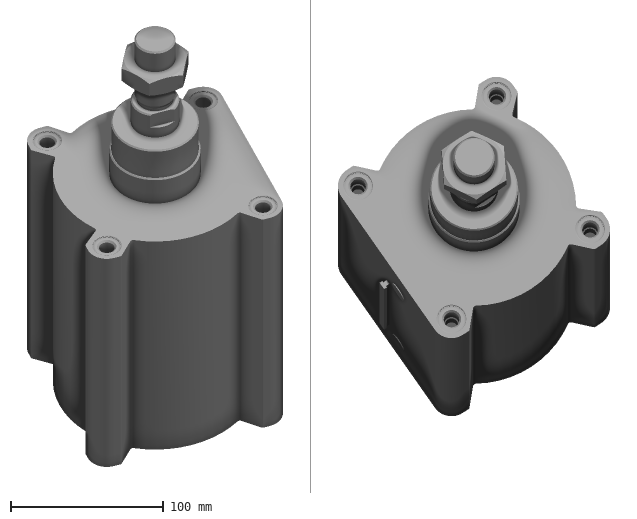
import cadquery as cq
import math

overall_height = 310.0
base_spigot_height = 6.2
barrel_top = 191.0
neck_top = 212.7
collar_top = 236.8
barrel_middle = (base_spigot_height + barrel_top) / 2

overall_width = 136.0
barrel_diameter = 134.2
lug_spacing = 55.0
lug_reach = overall_width / 2
lug_radius = lug_reach - lug_spacing
lug_flank_start = 49.5
lug_flank_angle = 43.0
lug_flank_run = 28.0
lug_corner_fillet = 1.5
notch_limit = 59.0
notch_fillet = 2.2

neck_diameter = 60.0
neck_chamfer = 1.0
collar_end_diameter = 57.7
collar_waist_diameter = 57.0
collar_chamfer = 1.0

socket_mouth_diameter = 19.5
socket_rim_diameter = 18.5
socket_floor_diameter = 18.0
socket_step = 0.3
thread_hole_diameter = 10.2
thread_hole_depth = 12.5
thread_hole_chamfer = 1.2
pilot_diameter = 8.5
pilot_depth = 9.3

rail_height = 5.0
rail_length = 96.0
rail_head_width = 5.3
rail_head_thickness = 2.2
rail_stem_width = 3.0
port_boss_diameter = 13.5
port_boss_height = 0.5
port_boss_x = -12.5
port_boss_spacing = 119.7

rod_diameter = 32.0
rod_shoulder = 256.7
rod_chamfer = 1.0
flats_width = 27.0
flats_length = 11.2
thread_diameter = 27.0
thread_start = 262.0
tip_chamfer = 1.1
relief_diameter = 24.8
relief_width = 1.0
groove_diameter = 24.2
groove_width = 2.0

nut_across_flats = 41.0
nut_bottom = 279.0
nut_thickness = 13.5
nut_bevel = 1.5


def cylinder(diameter, bottom, top):
    return cq.Workplane("XY").workplane(offset=bottom).circle(diameter / 2).extrude(top - bottom)


def cone(bottom_diameter, top_diameter, bottom, top):
    frustum = cq.Solid.makeCone(
        bottom_diameter / 2, top_diameter / 2, top - bottom, cq.Vector(0, 0, bottom)
    )
    return cq.Workplane(frustum)


def lug_prism():
    """Corner lug at +X +Y: slanted flanks run inwards until they are inside the barrel."""
    inner = lug_reach - lug_flank_run
    inner_offset = lug_flank_start - lug_flank_run * math.tan(math.radians(lug_flank_angle))
    arc_middle = lug_spacing + lug_radius * math.sqrt(0.5)
    prism = (
        cq.Workplane("XY").workplane(offset=base_spigot_height)
        .moveTo(inner, inner_offset)
        .lineTo(lug_reach, lug_flank_start)
        .lineTo(lug_reach, lug_spacing)
        .threePointArc((arc_middle, arc_middle), (lug_spacing, lug_reach))
        .lineTo(lug_flank_start, lug_reach)
        .lineTo(inner_offset, inner)
        .close()
        .extrude(barrel_top - base_spigot_height)
    )
    for turn in ((lug_reach, lug_flank_start), (lug_flank_start, lug_reach)):
        turn_edge = cq.selectors.NearestToPointSelector((*turn, barrel_middle))
        prism = prism.edges(turn_edge).fillet(lug_corner_fillet)
    return prism


def barrel():
    """Round barrel with four corner lugs and a flat +Y side."""
    length = barrel_top - base_spigot_height
    body = cylinder(barrel_diameter, base_spigot_height, barrel_top)
    flat_side = (
        cq.Workplane("XY").workplane(offset=base_spigot_height)
        .rect(2 * lug_spacing, lug_reach)
        .extrude(length)
        .translate((0, lug_reach / 2, 0))
    )
    for quarter in range(4):
        body = body.union(lug_prism().rotate((0, 0, 0), (0, 0, 1), 90 * quarter))
    body = body.union(flat_side)
    notch_zone = ((-notch_limit, -notch_limit, 0), (notch_limit, notch_limit, overall_height))
    return body.edges("|Z").edges(cq.selectors.BoxSelector(*notch_zone)).fillet(notch_fillet)


def collar():
    """Slightly waisted collar around the rod, revolved about Z."""
    end_radius = collar_end_diameter / 2
    edge = collar_top - collar_chamfer
    return (
        cq.Workplane("XZ")
        .moveTo(0, neck_top)
        .lineTo(end_radius, neck_top)
        .threePointArc((collar_waist_diameter / 2, (neck_top + edge) / 2), (end_radius, edge))
        .lineTo(end_radius - collar_chamfer, collar_top)
        .lineTo(0, collar_top)
        .close()
        .revolve(360, (0, 0, 0), (0, 1, 0))
    )


def rail():
    """T-section rail on the flat side, centred on the barrel length."""
    stem_height = rail_height - rail_head_thickness
    stem = cq.Workplane("XY").box(rail_stem_width, stem_height, rail_length, centered=(True, False, True))
    head = (
        cq.Workplane("XY")
        .box(rail_head_width, rail_head_thickness, rail_length, centered=(True, False, True))
        .translate((0, stem_height, 0))
    )
    return stem.union(head).translate((0, lug_reach, barrel_middle))


def port_boss(height):
    """Shallow round boss on the flat side, centred at the given height."""
    return (
        cq.Workplane("XZ", origin=(port_boss_x, lug_reach, height))
        .circle(port_boss_diameter / 2)
        .extrude(-port_boss_height)
    )


def socket_cutter():
    """Stepped recess with a chamfered, stepped thread hole below it, opening at the barrel top."""
    mouth_bottom = barrel_top - socket_step
    rim_bottom = mouth_bottom - socket_step
    floor = rim_bottom - socket_step
    hole_bottom = floor - thread_hole_depth
    chamfer_diameter = thread_hole_diameter + 2 * thread_hole_chamfer
    cutter = cone(socket_rim_diameter, socket_mouth_diameter, mouth_bottom, barrel_top)
    cutter = cutter.union(cylinder(socket_rim_diameter, rim_bottom, mouth_bottom))
    cutter = cutter.union(cylinder(socket_floor_diameter, floor, rim_bottom))
    cutter = cutter.union(cone(thread_hole_diameter, chamfer_diameter, floor - thread_hole_chamfer, floor))
    cutter = cutter.union(cylinder(thread_hole_diameter, hole_bottom, floor))
    return cutter.union(cylinder(pilot_diameter, hole_bottom - pilot_depth, hole_bottom))


def make_housing():
    """Barrel with its end spigots, collar, rail, ports, tie-rod sockets and the hole for the rod."""
    body = barrel()
    spigot = cylinder(neck_diameter, 0, base_spigot_height).faces("<Z").chamfer(neck_chamfer)
    neck = cylinder(neck_diameter, barrel_top, neck_top).faces(">Z").chamfer(neck_chamfer)
    body = body.union(spigot).union(neck).union(collar()).union(rail())
    for side in (-1, 1):
        body = body.union(port_boss(barrel_middle + side * port_boss_spacing / 2))
    for x in (-lug_spacing, lug_spacing):
        for y in (-lug_spacing, lug_spacing):
            body = body.cut(socket_cutter().translate((x, y, 0)))
    return body.cut(cylinder(rod_diameter, barrel_top, collar_top))


def make_rod():
    """Piston rod: shank with two wrench flats, undercut and threaded end."""
    shank = cylinder(rod_diameter, barrel_top, rod_shoulder).faces(">Z").chamfer(rod_chamfer)
    flats_middle = rod_shoulder - flats_length / 2
    for side in (-1, 1):
        shank = shank.cut(
            cq.Workplane("XY")
            .box(rod_diameter, rod_diameter, flats_length)
            .translate((side * (flats_width + rod_diameter) / 2, 0, flats_middle))
        )
    groove_top = rod_shoulder + groove_width
    groove = cylinder(groove_diameter, rod_shoulder, groove_top)
    relief_top = groove_top + relief_width
    relief = cylinder(relief_diameter, groove_top, relief_top)
    runout = cone(relief_diameter, thread_diameter, relief_top, thread_start)
    thread = cylinder(thread_diameter, thread_start, overall_height).faces(">Z").chamfer(tip_chamfer)
    return shank.union(groove).union(relief).union(runout).union(thread)


def make_nut():
    """Hexagon nut with corners on +/-Y and bevelled corners on both faces."""
    corner_diameter = nut_across_flats / math.cos(math.radians(30))
    nut_top = nut_bottom + nut_thickness
    hexagon = (
        cq.Workplane("XY").workplane(offset=nut_bottom)
        .polygon(6, corner_diameter)
        .extrude(nut_thickness)
        .rotate((0, 0, 0), (0, 0, 1), 30)
    )
    bevel_width = (corner_diameter - nut_across_flats) / 2
    bevelled_disc = cylinder(corner_diameter, nut_bottom, nut_top).edges().chamfer(nut_bevel, bevel_width)
    return hexagon.intersect(bevelled_disc).cut(cylinder(thread_diameter, nut_bottom, nut_top))


housing = make_housing()
rod = make_rod()
nut = make_nut()

result = cq.Compound.makeCompound([housing.val(), rod.val(), nut.val()])